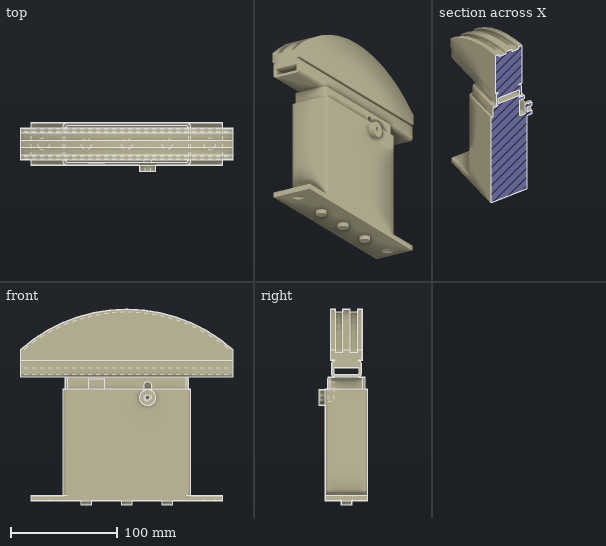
import cadquery as cq
import math

pin_diameter = 10.0
pin_length = 4.0
pin_spacing = 38.0

plate_length = 180.0
plate_width = 40.0
plate_thickness = 5.0
mount_hole_diameter = 11.0
mount_hole_inset = 12.0

body_length = 120.0
body_width = 40.0
body_height = 100.0
body_corner_radius = 4.0

neck_length = 116.0
neck_width = 35.0
neck_height = 11.5
neck_corner_chamfer = 2.2

boss_x = 19.5
boss_drop = 7.8
boss_diameter = 15.0
boss_length = 6.0
boss_hole_diameter = 5.0
boss_hole_depth = 6.0

slot_width = 7.2
slot_height = 7.0
slot_depth = 5.5

label_length = 15.0
label_height = 9.5
label_thickness = 0.2
label_x = -28.5

channel_width = 28.0
channel_height = 15.5
channel_wall = 2.5
channel_corner_radius = 3.2
channel_mouth = 14.0
channel_inner_width = channel_width - 2 * channel_wall

head_length = 200.0
head_width = 30.0
head_end_height = 10.0
head_radius = 150.0
groove_width = 7.0
groove_depth = 2.5
groove_offset = 7.0
foot_thickness = 4.5

plate_bottom = pin_length
plate_top = plate_bottom + plate_thickness
body_top = plate_top + body_height
boss_z = body_top - boss_drop
neck_top = body_top + neck_height
channel_top = neck_top + channel_height
lip_bottom = channel_top - channel_wall
head_end_top = channel_top + head_end_height

overlap = 1.0


def block(length, width, bottom, top):
    """Box centred on the Z axis between two heights."""
    return cq.Workplane("XY", origin=(0, 0, bottom)).rect(length, width).extrude(top - bottom)


def base_plate():
    plate = block(plate_length, plate_width, plate_bottom, plate_top)
    hole_x = plate_length / 2 - mount_hole_inset
    return (
        plate.faces(">Z").workplane(origin=(0, 0, plate_top))
        .pushPoints([(-hole_x, 0), (hole_x, 0)])
        .hole(mount_hole_diameter)
    )


def pins():
    return (
        cq.Workplane("XY")
        .pushPoints([(i * pin_spacing, 0) for i in (-1, 0, 1)])
        .circle(pin_diameter / 2)
        .extrude(plate_top)
    )


def body():
    case = block(body_length, body_width, plate_top - overlap, body_top)
    return case.edges("|Z").fillet(body_corner_radius)


def neck():
    bar = block(neck_length, neck_width, body_top - overlap, neck_top)
    return bar.edges("|Z").chamfer(neck_corner_chamfer)


def slot():
    """Cutter for the upright slot; its lower round end is centred on the boss axis."""
    slot_top = body_top + slot_height
    slot_bottom = boss_z - slot_width / 2
    return (
        cq.Workplane("XZ", origin=(boss_x, -neck_width / 2, (slot_top + slot_bottom) / 2))
        .slot2D(slot_top - slot_bottom, slot_width, 90)
        .extrude(-slot_depth)
    )


def label():
    """Raised label; the back half of its block is buried in the neck."""
    return (
        cq.Workplane("XY", origin=(label_x, -neck_width / 2, body_top))
        .rect(label_length, 2 * label_thickness)
        .extrude(label_height)
    )


def boss():
    face = cq.Workplane("XZ", origin=(boss_x, -body_width / 2, boss_z))
    return (
        face.circle(boss_diameter / 2).extrude(boss_length)
        .faces("<Y").workplane(centerOption="CenterOfMass")
        .hole(boss_hole_diameter, boss_hole_depth)
    )


def channel():
    """Square-ended channel whose two lips leave a mouth along the middle of its top."""
    tube = block(head_length, channel_width, neck_top, channel_top)
    tube = tube.edges("|X").fillet(channel_corner_radius)
    cavity = block(head_length, channel_inner_width, neck_top + channel_wall, lip_bottom)
    cavity = cavity.edges("|X").fillet(channel_corner_radius - channel_wall)
    mouth = block(head_length, channel_mouth, lip_bottom, channel_top)
    return tube.cut(cavity).cut(mouth)


def arch(width, y_center, top_drop):
    """Arched slab above the channel, its curved top lowered by top_drop."""
    half = head_length / 2
    rise = head_radius - math.sqrt(head_radius**2 - half**2)
    end_top = head_end_top - top_drop
    return (
        cq.Workplane("XZ", origin=(0, y_center + width / 2, 0))
        .moveTo(-half, channel_top)
        .lineTo(-half, end_top)
        .threePointArc((0, end_top + rise), (half, end_top))
        .lineTo(half, channel_top)
        .close()
        .extrude(width)
    )


def head():
    """Grooved arch with the stem and foot that fill the upper part of the channel."""
    slab = arch(head_width, 0, 0)
    for side in (-1, 1):
        y_center = side * groove_offset
        band = arch(groove_width, y_center, 0)
        slab = slab.cut(band).union(arch(groove_width, y_center, groove_depth))
    stem = block(head_length, channel_mouth, lip_bottom, channel_top)
    foot = block(head_length, channel_inner_width, lip_bottom - foot_thickness, lip_bottom)
    return slab.union(stem).union(foot)


result = (
    base_plate()
    .union(pins())
    .union(body())
    .union(neck())
    .cut(slot())
    .union(label())
    .union(boss())
    .union(channel())
    .union(head())
)